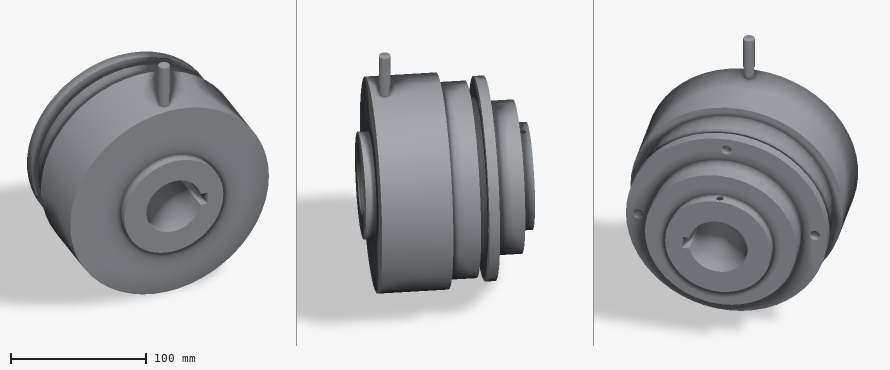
import cadquery as cq

hub_end = 9.0
collar_end = 29.6
flange_end = 37.5
cone_end = 43.5
step_end = 64.7
drum_end = 117.5
body_length = 125.3

hub_radius = 40.0
collar_radius = 57.0
flange_radius = 76.0
cone_small_radius = 60.0
cone_large_radius = 63.3
step_radius = 73.0
drum_radius = 80.3

bore_radius = 22.2
keyway_width = 9.5
keyway_reach = 27.0

bolt_circle_radius = 66.6
bolt_hole_count = 4
bolt_hole_diameter = 6.6
bolt_mouth_diameter = 8.0
set_screw_x = 5.5
set_screw_diameter = 5.3
set_screw_mouth_diameter = 6.6

overall_height = 194.8
lever_x = 107.3
grip_radius = 4.3
grip_length = 25.0
neck_radius = 3.7
lever_top = overall_height - drum_radius
neck_root = drum_radius - neck_radius


def turned_body():
    profile = [
        (0, 0),
        (0, hub_radius),
        (hub_end, hub_radius),
        (hub_end, collar_radius),
        (collar_end, collar_radius),
        (collar_end, flange_radius),
        (flange_end, flange_radius),
        (flange_end, cone_small_radius),
        (cone_end, cone_large_radius),
        (cone_end, step_radius),
        (step_end, step_radius),
        (step_end, drum_radius),
        (drum_end, drum_radius),
        (drum_end, hub_radius),
        (body_length, hub_radius),
        (body_length, 0),
    ]
    return cq.Workplane("XY").polyline(profile).close().revolve(360, (0, 0, 0), (1, 0, 0))


def upright_cylinder(x, radius, bottom, top):
    return cq.Workplane("XY", origin=(x, 0, bottom)).circle(radius).extrude(top - bottom)


def lever():
    grip_bottom = lever_top - grip_length
    neck = upright_cylinder(lever_x, neck_radius, neck_root, grip_bottom)
    grip = upright_cylinder(lever_x, grip_radius, grip_bottom, lever_top)
    return neck.union(grip)


def keyed_bore():
    bore = cq.Workplane("YZ").circle(bore_radius).extrude(body_length)
    keyway = cq.Workplane("XY").box(
        body_length, keyway_reach, keyway_width, centered=(False, False, True)
    )
    return bore.union(keyway)


def chamfered_holes(entry, diameter, mouth_diameter, depth):
    chamfer = (mouth_diameter - diameter) / 2
    cores = entry.circle(diameter / 2).extrude(depth)
    mouths = entry.circle(mouth_diameter / 2).extrude(chamfer, taper=45)
    return cores.union(mouths)


def flange_holes():
    flange_face = cq.Workplane("YZ", origin=(collar_end, 0, 0))
    centers = flange_face.polarArray(bolt_circle_radius, 0, 360, bolt_hole_count)
    return chamfered_holes(
        centers, bolt_hole_diameter, bolt_mouth_diameter, flange_end - collar_end
    )


def set_screw_hole():
    hub_top = cq.Workplane(cq.Plane((set_screw_x, 0, hub_radius), (1, 0, 0), (0, 0, -1)))
    return chamfered_holes(hub_top, set_screw_diameter, set_screw_mouth_diameter, hub_radius)


result = (
    turned_body()
    .union(lever())
    .cut(keyed_bore())
    .cut(flange_holes())
    .cut(set_screw_hole())
)